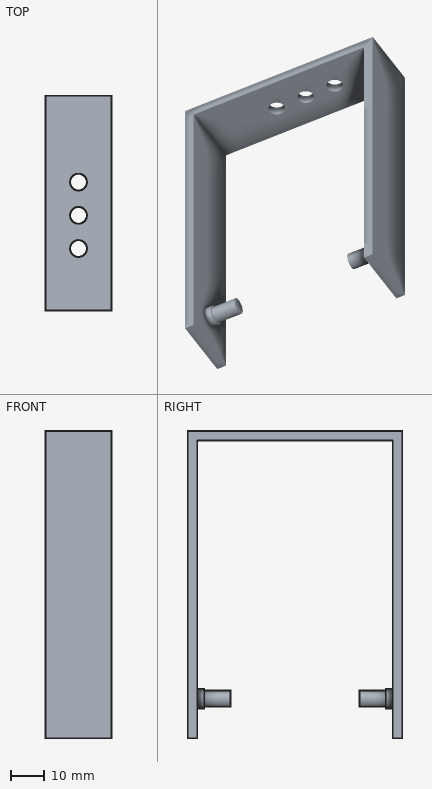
import cadquery as cq

width = 20.0
depth = 65.0
height = 93.0
wall = 3.0

hole_diameter = 5.0
hole_spacing = 10.0
middle_hole_y = -3.7
hole_count = 3

pin_height = 12.0
collar_diameter = 6.0
collar_length = 2.0
pin_diameter = 5.0
pin_reach = 10.0

inner_depth = depth - 2 * wall


def make_bracket():
    outer = cq.Workplane("XY").box(width, depth, height, centered=(True, True, False))
    opening = cq.Workplane("XY").box(
        width, inner_depth, height - wall, centered=(True, True, False)
    )
    return outer.cut(opening)


def make_top_holes():
    return (
        cq.Workplane("XY", origin=(0, middle_hole_y, height - wall))
        .rarray(0.9, hole_spacing, 1, hole_count)
        .circle(hole_diameter / 2)
        .extrude(wall)
    )


def make_pin(side):
    """Collar and pin on one leg; side is +1 for the +Y leg, -1 for the -Y leg."""
    root = wall / 2
    plane = cq.Plane(
        origin=(0, side * (inner_depth / 2 + root), pin_height),
        xDir=(1, 0, 0),
        normal=(0, -side, 0),
    )
    collar = cq.Workplane(plane).circle(collar_diameter / 2).extrude(root + collar_length)
    shaft = cq.Workplane(plane).circle(pin_diameter / 2).extrude(root + pin_reach)
    return collar.union(shaft)


result = make_bracket().cut(make_top_holes())
for leg_side in (-1, 1):
    result = result.union(make_pin(leg_side))